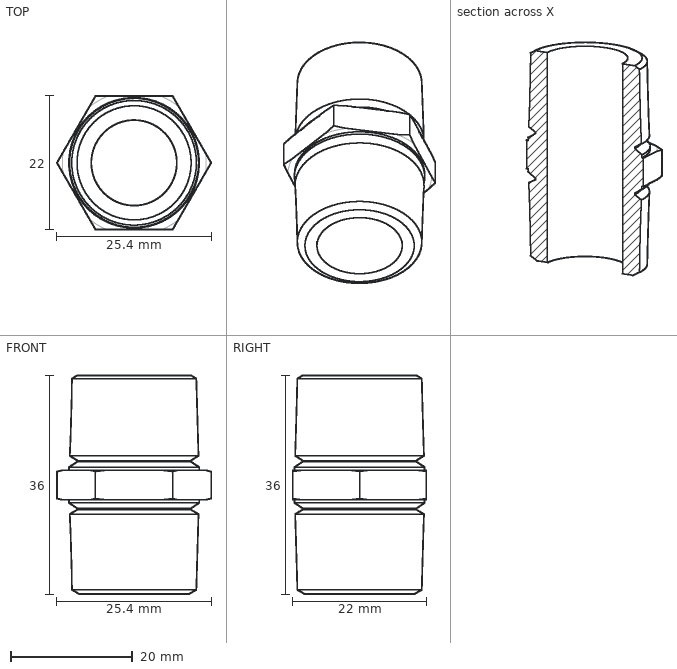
import cadquery as cq
import math

total_height = 36.0
bore_radius = 7.02
across_flats = 22.0

hex_bottom = 15.5
hex_height = 4.9
hex_top = hex_bottom + hex_height
hex_chamfer_radius = 11.85
hex_chamfer_angle = 15.0

tip_radius = 10.25
root_radius = 10.62
top_face_radius = 9.4
top_chamfer_height = 0.55
bottom_face_radius = 9.0
bottom_chamfer_height = 0.72

collar_radius = 10.73
collar_height = 0.5
groove_radius = 9.35
groove_slope_height = 0.9
groove_floor_height = 0.18
groove_end_height = 0.75


def make_end(length, face_radius, chamfer_height):
    """Solid end standing on Z = 0, from the hexagon face to its free end."""
    floor_start = collar_height + groove_slope_height
    floor_end = floor_start + groove_floor_height
    profile = [
        (0, 0),
        (collar_radius, 0),
        (collar_radius, collar_height),
        (groove_radius, floor_start),
        (groove_radius, floor_end),
        (root_radius, floor_end + groove_end_height),
        (tip_radius, length - chamfer_height),
        (face_radius, length),
        (0, length),
    ]
    return cq.Workplane("XZ").polyline(profile).close().revolve(360, (0, 0), (0, 1))


def make_hexagon():
    """Hexagon standing on Z = 0, with conical chamfers on its corners."""
    corner_radius = across_flats / math.sqrt(3)
    chamfer_width = corner_radius - hex_chamfer_radius
    chamfer_height = chamfer_width * math.tan(math.radians(hex_chamfer_angle))
    envelope = [
        (0, 0),
        (hex_chamfer_radius, 0),
        (corner_radius, chamfer_height),
        (corner_radius, hex_height - chamfer_height),
        (hex_chamfer_radius, hex_height),
        (0, hex_height),
    ]
    turned = cq.Workplane("XZ").polyline(envelope).close().revolve(360, (0, 0), (0, 1))
    prism = cq.Workplane("XY").polygon(6, 2 * corner_radius).extrude(hex_height)
    return prism.intersect(turned)


hexagon = make_hexagon().translate((0, 0, hex_bottom))
upper_end = make_end(total_height - hex_top, top_face_radius, top_chamfer_height)
upper_end = upper_end.translate((0, 0, hex_top))
lower_end = make_end(hex_bottom, bottom_face_radius, bottom_chamfer_height)
lower_end = lower_end.rotate((0, 0, 0), (1, 0, 0), 180).translate((0, 0, hex_bottom))
bore = cq.Workplane("XY").circle(bore_radius).extrude(total_height)

result = hexagon.union(upper_end).union(lower_end).cut(bore)